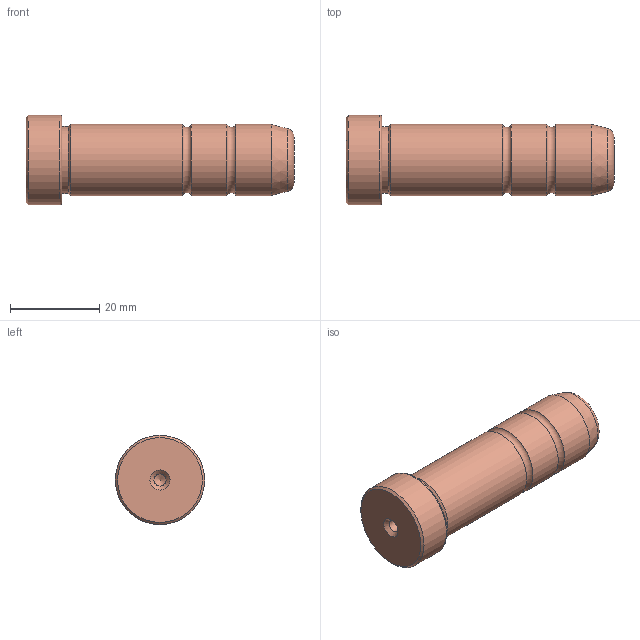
import cadquery as cq
import math

total_length = 60.0

head_radius = 10.0
head_length = 8.0
head_front_chamfer = 0.5
head_rear_round = 0.4

undercut_radius = 7.5
undercut_length = 1.5

shank_radius = 8.0
shank_chamfer = shank_radius - undercut_radius

groove_width = 2.0
groove_depth = 0.7
groove_centers = (36.0, 46.0)

lead_in_length = 5.0
lead_in_angle = math.radians(15.0)
end_round_radius = 2.0

countersink_radius = 2.25
countersink_angle = math.radians(45.0)
bore_radius = 1.35
bore_length = 5.0
drill_point_angle = math.radians(60.0)


def revolve_about_x(profile):
    """Turn a closed XY half profile into a solid of revolution about X."""
    return profile.revolve(360, (0, 0, 0), (1, 0, 0))


def make_head():
    head = cq.Workplane("YZ").circle(head_radius).extrude(head_length)
    head = head.faces("<X").chamfer(head_front_chamfer)
    return head.faces(">X").edges().fillet(head_rear_round)


def make_shank():
    """Undercut, chamfered shoulder, guiding length and rounded lead-in."""
    shoulder = head_length + undercut_length
    lead_in_start = total_length - lead_in_length

    round_center_x = total_length - end_round_radius
    round_start_x = round_center_x + end_round_radius * math.sin(lead_in_angle)
    round_start_r = shank_radius - (round_start_x - lead_in_start) * math.tan(lead_in_angle)
    round_center_r = round_start_r - end_round_radius * math.cos(lead_in_angle)
    round_middle_angle = (math.pi / 2 - lead_in_angle) / 2
    round_middle = (
        round_center_x + end_round_radius * math.cos(round_middle_angle),
        round_center_r + end_round_radius * math.sin(round_middle_angle),
    )

    profile = (
        cq.Workplane("XY")
        .moveTo(head_length, 0)
        .lineTo(head_length, undercut_radius)
        .lineTo(shoulder, undercut_radius)
        .lineTo(shoulder + shank_chamfer, shank_radius)
        .lineTo(lead_in_start, shank_radius)
        .lineTo(round_start_x, round_start_r)
        .threePointArc(round_middle, (total_length, round_center_r))
        .lineTo(total_length, 0)
        .close()
    )
    return revolve_about_x(profile)


def make_groove_cutter(center_x):
    profile = (
        cq.Workplane("XY")
        .moveTo(center_x - groove_width / 2, shank_radius)
        .threePointArc(
            (center_x, shank_radius - groove_depth),
            (center_x + groove_width / 2, shank_radius),
        )
        .lineTo(center_x + groove_width / 2, head_radius)
        .lineTo(center_x - groove_width / 2, head_radius)
        .close()
    )
    return revolve_about_x(profile)


def make_center_hole_cutter():
    countersink_depth = (countersink_radius - bore_radius) / math.tan(countersink_angle)
    bore_end = countersink_depth + bore_length
    point_length = bore_radius / math.tan(drill_point_angle)
    profile = (
        cq.Workplane("XY")
        .moveTo(0, 0)
        .lineTo(0, countersink_radius)
        .lineTo(countersink_depth, bore_radius)
        .lineTo(bore_end, bore_radius)
        .lineTo(bore_end + point_length, 0)
        .close()
    )
    return revolve_about_x(profile)


result = make_head().union(make_shank())
for groove_center in groove_centers:
    result = result.cut(make_groove_cutter(groove_center))
result = result.cut(make_center_hole_cutter())